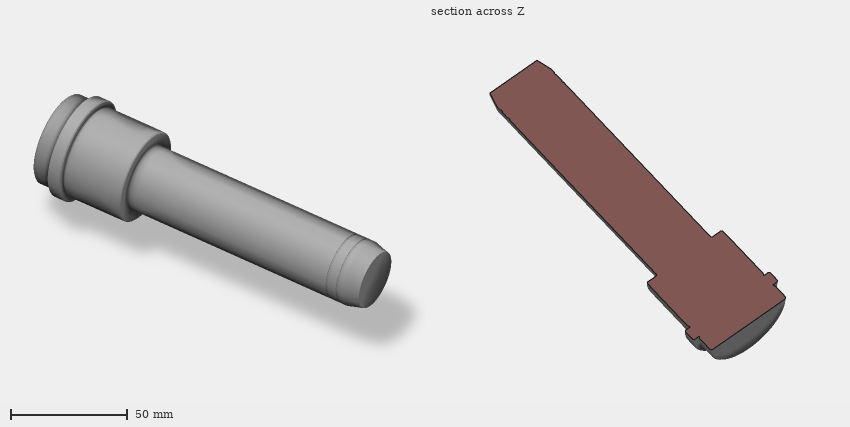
import cadquery as cq
import math

TOTAL_LENGTH = 160.0

HEAD_RADIUS = 42.0 / 2
HEAD_LENGTH = 44.0
EDGE_CHAMFER = 0.5
END_CHAMFER = 0.6
LEAD_IN_START = 38.5
LEAD_IN_DROP = 0.08

FLANGE_RADIUS = 47.0 / 2
FLANGE_START = 8.8
FLANGE_END = 15.0
RELIEF_WIDTH = 1.0
RELIEF_DEPTH = 0.5

SHANK_RADIUS = 30.0 / 2
ROOT_FILLET = 0.5

GROOVE_STARTS = (144.3, 149.5)
GROOVE_WIDTH = 1.0
GROOVE_DEPTH = 0.3

TIP_LENGTH = 7.2
TIP_ANGLE = 15.0
TIP_RADIUS = SHANK_RADIUS - TIP_LENGTH * math.tan(math.radians(TIP_ANGLE))


def cylinder(radius, start, end):
    """Solid cylinder on the X axis between two X positions."""
    return cq.Workplane("YZ").workplane(offset=start).circle(radius).extrude(end - start)


def ring(outer_radius, inner_radius, start, end):
    """Annular cutter on the X axis between two X positions."""
    return cylinder(outer_radius, start, end).cut(cylinder(inner_radius, start, end))


def make_body():
    """Head with flange reliefs, shank and conical tip, revolved from one half profile."""
    lead_in_radius = HEAD_RADIUS - LEAD_IN_DROP
    return (
        cq.Workplane("XY")
        .lineTo(0, HEAD_RADIUS - END_CHAMFER)
        .lineTo(END_CHAMFER, HEAD_RADIUS)
        .lineTo(FLANGE_START - RELIEF_WIDTH, HEAD_RADIUS)
        .lineTo(FLANGE_START, HEAD_RADIUS - RELIEF_DEPTH)
        .lineTo(FLANGE_END, HEAD_RADIUS - RELIEF_DEPTH)
        .lineTo(FLANGE_END + RELIEF_WIDTH, HEAD_RADIUS)
        .lineTo(LEAD_IN_START, HEAD_RADIUS)
        .lineTo(HEAD_LENGTH - EDGE_CHAMFER, lead_in_radius)
        .lineTo(HEAD_LENGTH, lead_in_radius - EDGE_CHAMFER)
        .lineTo(HEAD_LENGTH, SHANK_RADIUS + ROOT_FILLET)
        .radiusArc((HEAD_LENGTH + ROOT_FILLET, SHANK_RADIUS), -ROOT_FILLET)
        .lineTo(TOTAL_LENGTH - TIP_LENGTH, SHANK_RADIUS)
        .lineTo(TOTAL_LENGTH, TIP_RADIUS)
        .lineTo(TOTAL_LENGTH, 0)
        .close()
        .revolve(360, (0, 0, 0), (1, 0, 0))
    )


def make_flange():
    """Flange disc with both rims chamfered."""
    return cylinder(FLANGE_RADIUS, FLANGE_START, FLANGE_END).edges().chamfer(EDGE_CHAMFER)


result = make_body().union(make_flange())
for groove_start in GROOVE_STARTS:
    groove = ring(HEAD_RADIUS, SHANK_RADIUS - GROOVE_DEPTH, groove_start, groove_start + GROOVE_WIDTH)
    result = result.cut(groove)